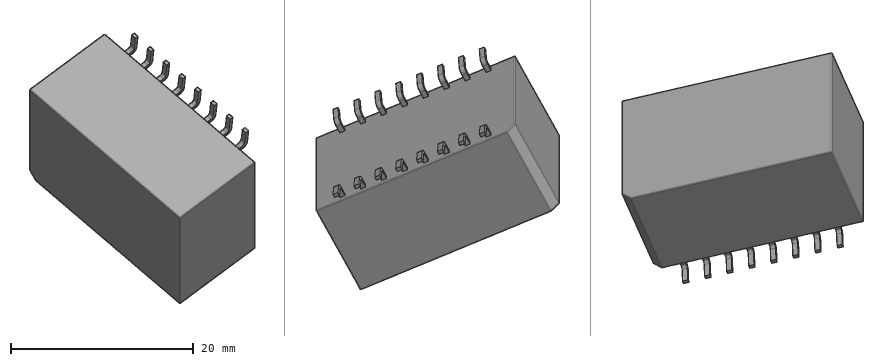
import cadquery as cq
import math

body_length = 24.15
body_depth = 11.25
body_height = 15.55
corner_cut = 1.0
edge_radius = 0.1

leads_per_row = 8
lead_pitch = 2.54
lead_width = 0.6
lead_thickness = 0.4
lead_inset = 0.65
lead_overhang = 1.33
lead_reach = 1.75
lead_lean = 5.5
lead_root = 0.25
inner_bend = 0.36
wide_inner_bend = 0.6
outer_bend = 0.7

back_face = body_depth / 2


def make_housing():
    """Block with one cut corner and rounded edges."""
    block = cq.Workplane("XY").box(body_length, body_depth, body_height)
    block = block.edges("<X and <Z").chamfer(corner_cut)
    return block.edges().fillet(edge_radius)


def make_upper_lead(inside_radius):
    """Bent lead centred on X = 0: root along Y, then a leg rising to the tip."""
    lean = math.tan(math.radians(lead_lean))
    root_top = body_height / 2 - lead_inset
    root_bottom = root_top - lead_thickness
    tip_z = body_height / 2 + lead_overhang
    tip_back_y = back_face + lead_reach
    tip_front_y = tip_back_y - lead_thickness / math.cos(math.radians(lead_lean))
    root_y = back_face - lead_root
    profile = [
        (root_y, root_bottom),
        (tip_back_y - lean * (tip_z - root_bottom), root_bottom),
        (tip_back_y, tip_z),
        (tip_front_y, tip_z),
        (tip_front_y - lean * (tip_z - root_top), root_top),
        (root_y, root_top),
    ]
    lead = cq.Workplane("YZ").polyline(profile).close().extrude(lead_width / 2, both=True)
    inner_corner = cq.selectors.NearestToPointSelector((0, *profile[4]))
    outer_corner = cq.selectors.NearestToPointSelector((0, *profile[1]))
    lead = lead.edges("|X").edges(inner_corner).fillet(inside_radius)
    return lead.edges("|X").edges(outer_corner).fillet(outer_bend)


result = make_housing()
standard_lead = make_upper_lead(inner_bend)
lower_lead = standard_lead.mirror("XY")
last_upper_lead = make_upper_lead(wide_inner_bend)

for index in range(leads_per_row):
    lead_x = (index - (leads_per_row - 1) / 2) * lead_pitch
    is_last = index == leads_per_row - 1
    upper_lead = last_upper_lead if is_last else standard_lead
    result = result.union(upper_lead.translate((lead_x, 0, 0)))
    result = result.union(lower_lead.translate((lead_x, 0, 0)))